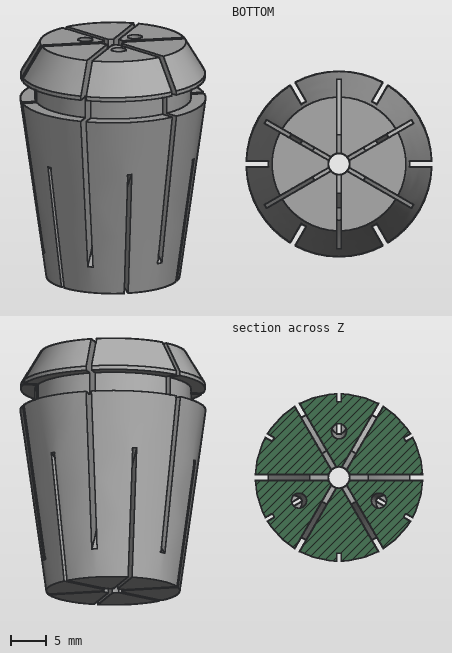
import cadquery as cq
import math

total_height = 34.0
body_diameter = 26.0
body_taper = 8.0
groove_radius = 10.95
groove_bottom_depth = 8.13
lip_bottom_depth = 5.05
lip_top_depth = 4.5
lip_radius = 12.92
top_face_radius = 10.25
bore_diameter = 2.95

body_radius = body_diameter / 2
shoulder_height = total_height - groove_bottom_depth
taper_slope = math.tan(math.radians(body_taper))
base_radius = body_radius - shoulder_height * taper_slope

slots_per_set = 6
slot_pitch = 360.0 / slots_per_set
blade_radius = 27.55
hub_radius = 4.1
slot_clearance = 1.7
slot_reach = body_radius + slot_clearance

upper_slot_width = 0.78
upper_slot_outer_height = 3.9
upper_slot_hub_height = 14.38

lower_slot_width = 0.58
lower_slot_outer_height = 18.0
lower_slot_hub_height = 9.2

coolant_hole_count = 3
coolant_hole_diameter = 2.05
coolant_hole_circle_radius = 4.08
coolant_hole_tilt = 8.0
coolant_hole_depth = 22.1
coolant_hole_overrun = 1.7


def make_body():
    profile = [
        (0, 0),
        (base_radius, 0),
        (body_radius, shoulder_height),
        (groove_radius, shoulder_height),
        (groove_radius, total_height - lip_bottom_depth),
        (lip_radius, total_height - lip_bottom_depth),
        (lip_radius, total_height - lip_top_depth),
        (top_face_radius, total_height),
        (0, total_height),
    ]
    body = cq.Workplane("XZ").polyline(profile).close().revolve(360, (0, 0), (0, 1))
    return body.faces(">Z").workplane().hole(bore_diameter)


def taper_radius(height):
    """Radius of the tapered surface at a height."""
    return base_radius + height * taper_slope


def blade_arc_middle(start, end, clearance_side):
    """Middle of the blade arc, bowed from its chord into the material.

    clearance_side is +1 when the slot opens upwards and -1 when it opens downwards.
    """
    run = end[0] - start[0]
    rise = end[1] - start[1]
    chord = math.hypot(run, rise)
    bow = blade_radius - math.sqrt(blade_radius**2 - (chord / 2) ** 2)
    middle_radius = (start[0] + end[0]) / 2 + clearance_side * bow * rise / chord
    middle_height = (start[1] + end[1]) / 2 - clearance_side * bow * run / chord
    return (middle_radius, middle_height)


def make_slot_cutter(width, outer_height, hub_height, open_height):
    """Radial slot along +X, from its curved end to the open end of the collet."""
    clearance_side = math.copysign(1, open_height - hub_height)
    axis_height = hub_height - clearance_side * hub_radius * taper_slope
    hub_point = (hub_radius, hub_height)
    outer_point = (taper_radius(outer_height), outer_height)
    return (
        cq.Workplane("XZ")
        .moveTo(0, axis_height)
        .lineTo(*hub_point)
        .threePointArc(blade_arc_middle(hub_point, outer_point, clearance_side), outer_point)
        .lineTo(slot_reach, outer_height)
        .lineTo(slot_reach, open_height)
        .lineTo(0, open_height)
        .close()
        .extrude(width / 2, both=True)
    )


def cut_slots(body, cutter, first_angle):
    for index in range(slots_per_set):
        angle = first_angle + index * slot_pitch
        body = body.cut(cutter.rotate((0, 0, 0), (0, 0, 1), angle))
    return body


def cut_coolant_holes(body):
    tilt = math.radians(coolant_hole_tilt)
    down = cq.Vector(0, math.sin(tilt), -math.cos(tilt))
    entry = cq.Vector(0, coolant_hole_circle_radius, total_height)
    hole = cq.Workplane(
        cq.Solid.makeCylinder(
            coolant_hole_diameter / 2,
            coolant_hole_depth + coolant_hole_overrun,
            entry - down * coolant_hole_overrun,
            down,
        )
    )
    for index in range(coolant_hole_count):
        angle = index * 360.0 / coolant_hole_count
        body = body.cut(hole.rotate((0, 0, 0), (0, 0, 1), angle))
    return body


upper_slot = make_slot_cutter(
    upper_slot_width, upper_slot_outer_height, upper_slot_hub_height, total_height
)
lower_slot = make_slot_cutter(
    lower_slot_width, lower_slot_outer_height, lower_slot_hub_height, 0
)

collet = make_body()
collet = cut_slots(collet, upper_slot, 0)
collet = cut_slots(collet, lower_slot, slot_pitch / 2)
result = cut_coolant_holes(collet)